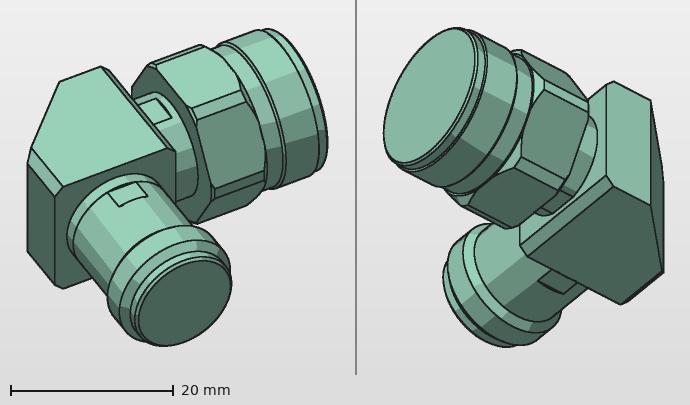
import cadquery as cq
import math


OVERALL_LENGTH = 38.0

BLOCK_SIZE = 17.0
BLOCK_HALF = BLOCK_SIZE / 2
BLOCK_CHAMFER = 1.18
CORNER_CUT = 10.0
COLLAR_LENGTH = 1.6

NECK_RADIUS = 6.8
WRENCH_FLAT_HEIGHT = 6.5
WRENCH_FLAT_LENGTH = 3.0

JACK_START = BLOCK_HALF + COLLAR_LENGTH
JACK_END = 26.1
FLANGE_RADIUS = 7.8
FLANGE_START = 20.6
FLANGE_END = 23.65
FLANGE_BEVEL = FLANGE_RADIUS - NECK_RADIUS
END_CHAMFER = 0.35

PLUG_START = BLOCK_HALF
PLUG_END = OVERALL_LENGTH - BLOCK_HALF
HEX_START = 12.55
HEX_END = 20.7
HEX_ACROSS_FLATS = 18.92
HEX_CORNER_RADIUS = 10.5
HEX_FRONT_CHAMFER = 0.9
HEX_BACK_CHAMFER = 0.35
SLEEVE_RADIUS = 9.27
SLEEVE_CHAMFER = 0.25
RING_DIAMETER = 19.1
RING_RADIUS = RING_DIAMETER / 2
RING_START = 23.37
RING_END = 28.0
RING_BEVEL = RING_RADIUS - SLEEVE_RADIUS
RING_FRONT_BEVEL = 0.1


def turned_about_x(profile):
    """Revolve (x, radius) points about the X axis."""
    return cq.Workplane("XY").polyline(profile).close().revolve(360, (0, 0, 0), (1, 0, 0))


def turned_about_y(profile):
    """Revolve (radius, y) points about the Y axis."""
    return cq.Workplane("XY").polyline(profile).close().revolve(360, (0, 0, 0), (0, 1, 0))


def cut_wrench_flats(body, length_x, length_y, center):
    """Mill two opposite flats, facing +Z and -Z."""
    depth = NECK_RADIUS - WRENCH_FLAT_HEIGHT
    for side in (1, -1):
        z = side * (WRENCH_FLAT_HEIGHT + depth / 2)
        cutter = cq.Workplane("XY").box(length_x, length_y, depth)
        body = body.cut(cutter.translate((center[0], center[1], z)))
    return body


def make_elbow_block():
    block = cq.Workplane("XY").box(BLOCK_SIZE, BLOCK_SIZE, BLOCK_SIZE)
    block = block.edges("|X").chamfer(BLOCK_CHAMFER)

    corner = (
        cq.Workplane("XY", origin=(-BLOCK_HALF, -BLOCK_HALF, -BLOCK_HALF))
        .polyline([(0, 0), (CORNER_CUT, 0), (0, CORNER_CUT)])
        .close()
        .extrude(BLOCK_SIZE)
    )
    collar = cq.Workplane("YZ", origin=(BLOCK_HALF, 0, 0)).circle(NECK_RADIUS).extrude(COLLAR_LENGTH)
    return block.cut(corner).union(collar)


def make_jack():
    jack = turned_about_x([
        (JACK_START, 0),
        (JACK_START, NECK_RADIUS),
        (FLANGE_START - FLANGE_BEVEL, NECK_RADIUS),
        (FLANGE_START, FLANGE_RADIUS),
        (FLANGE_END, FLANGE_RADIUS),
        (FLANGE_END + FLANGE_BEVEL, NECK_RADIUS),
        (JACK_END - END_CHAMFER, NECK_RADIUS),
        (JACK_END, NECK_RADIUS - END_CHAMFER),
        (JACK_END, 0),
    ])
    flat_center = (JACK_START + WRENCH_FLAT_LENGTH / 2, 0)
    return cut_wrench_flats(jack, WRENCH_FLAT_LENGTH, 2 * NECK_RADIUS, flat_center)


def make_plug_neck():
    neck = turned_about_y([
        (0, PLUG_START),
        (NECK_RADIUS, PLUG_START),
        (NECK_RADIUS, HEX_START),
        (0, HEX_START),
    ])
    flat_center = (0, PLUG_START + WRENCH_FLAT_LENGTH / 2)
    return cut_wrench_flats(neck, 2 * NECK_RADIUS, WRENCH_FLAT_LENGTH, flat_center)


def make_plug_hex():
    """Hexagon with flats facing +Z and -Z, inside a bevelled turned blank."""
    across_corners = HEX_ACROSS_FLATS / math.cos(math.pi / 6)
    hexagon = (
        cq.Workplane("XZ", origin=(0, HEX_START, 0))
        .polygon(6, across_corners)
        .extrude(HEX_START - HEX_END)
    )
    blank = turned_about_y([
        (0, HEX_START),
        (HEX_CORNER_RADIUS - HEX_BACK_CHAMFER, HEX_START),
        (HEX_CORNER_RADIUS, HEX_START + HEX_BACK_CHAMFER),
        (HEX_CORNER_RADIUS, HEX_END - HEX_FRONT_CHAMFER),
        (HEX_CORNER_RADIUS - HEX_FRONT_CHAMFER, HEX_END),
        (0, HEX_END),
    ])
    return hexagon.intersect(blank)


def make_plug_sleeve():
    return turned_about_y([
        (0, HEX_END),
        (SLEEVE_RADIUS, HEX_END),
        (SLEEVE_RADIUS, RING_START - RING_BEVEL),
        (RING_RADIUS, RING_START),
        (RING_RADIUS, RING_END),
        (SLEEVE_RADIUS, RING_END + RING_FRONT_BEVEL),
        (SLEEVE_RADIUS, PLUG_END - SLEEVE_CHAMFER),
        (SLEEVE_RADIUS - SLEEVE_CHAMFER, PLUG_END),
        (0, PLUG_END),
    ])


def make_plug():
    return make_plug_neck().union(make_plug_hex()).union(make_plug_sleeve())


elbow_block = make_elbow_block()
jack = make_jack()
plug = make_plug()

bodies = [elbow_block, jack, plug]
result = cq.Compound.makeCompound([body.solids().val() for body in bodies])